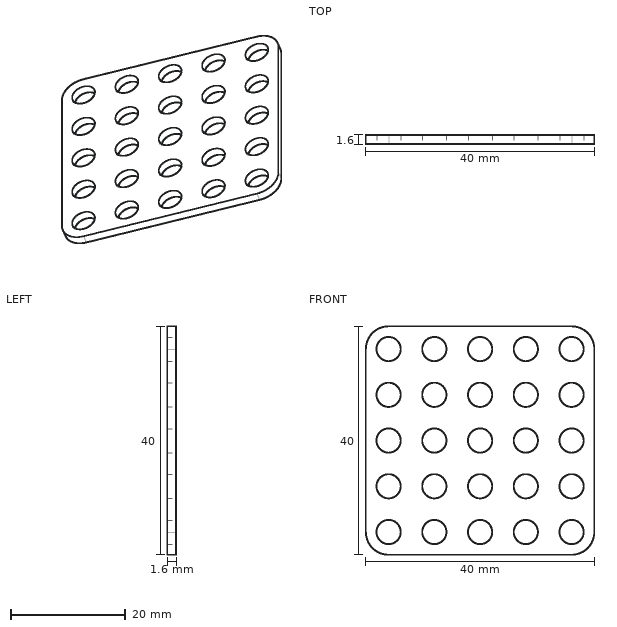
import cadquery as cq

side = 40.0
thickness = 1.6

holes_per_side = 5
hole_diameter = 4.2
pitch = side / holes_per_side

corner_radius = pitch / 2

plate = (
    cq.Workplane("XY")
    .box(side, thickness, side)
    .edges("|Y")
    .fillet(corner_radius)
)

result = (
    plate.faces("<Y")
    .workplane(centerOption="CenterOfBoundBox")
    .rarray(pitch, pitch, holes_per_side, holes_per_side)
    .hole(hole_diameter)
)